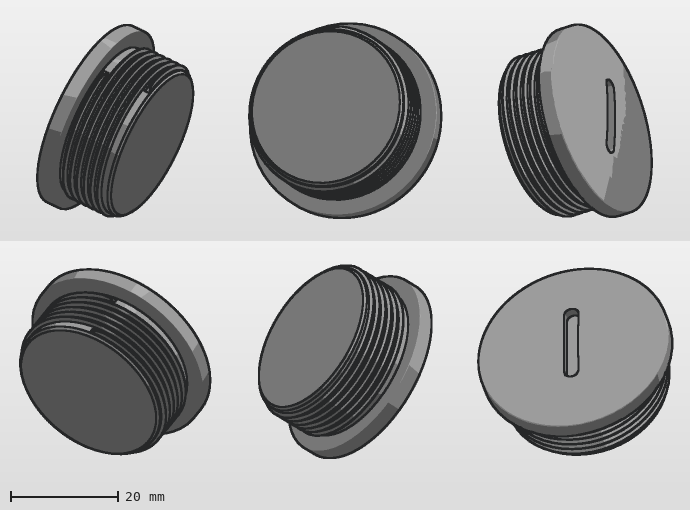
import cadquery as cq
import math

length = 15.95
head_radius = 18.32
dome_height = 1.95
head_rear = 5.0
dome_edge_fillet = 0.4
rear_edge_fillet = 0.1

body_radius = 29.98 / 2
end_chamfer = 0.5
pitch = 1.5
turns = 6
thread_start = 5.75
thread_end = thread_start + turns * pitch
crest_radius = 15.72
thread_base_width = 1.0
crest_width = 0.1
thread_embed = 0.15

ramp_length = 1.1
ramp_height = 0.5
flat_end = 3.65

slot_width = 2.75
slot_length = 15.75
slot_depth = 2.5

margin = 0.35


def make_head():
    """Domed disc with rounded rims."""
    sphere_radius = (head_radius**2 + dome_height**2) / (2 * dome_height)
    mid_radius = head_radius / 2
    mid_x = sphere_radius - math.sqrt(sphere_radius**2 - mid_radius**2)
    head = (
        cq.Workplane("XY")
        .threePointArc((mid_x, mid_radius), (dome_height, head_radius))
        .lineTo(head_rear, head_radius)
        .lineTo(head_rear, 0)
        .close()
        .revolve(360, (0, 0, 0), (1, 0, 0))
    )
    front_rim = cq.selectors.BoxSelector(
        (dome_height - margin, -head_radius - margin, -head_radius - margin),
        (dome_height + margin, head_radius + margin, head_radius + margin),
        boundingbox=True,
    )
    head = head.edges(front_rim).fillet(dome_edge_fillet)
    return head.faces(">X").edges().fillet(rear_edge_fillet)


def make_body():
    """Plain cylinder behind the head, chamfered at its free end."""
    return (
        cq.Workplane("YZ", origin=(head_rear, 0, 0))
        .circle(body_radius)
        .extrude(length - head_rear)
        .faces(">X")
        .chamfer(end_chamfer)
    )


def make_thread():
    """Right-handed ridge that starts and ends at the +Z side."""
    root_radius = body_radius - thread_embed
    slope = (thread_base_width - crest_width) / 2 / (crest_radius - body_radius)
    root_half = thread_base_width / 2 + slope * thread_embed
    crest_half = crest_width / 2
    helix = cq.Wire.makeHelix(pitch, turns * pitch, body_radius)
    ridge = (
        cq.Workplane("XZ")
        .polyline([
            (root_radius, -root_half),
            (crest_radius, -crest_half),
            (crest_radius, crest_half),
            (root_radius, root_half),
        ])
        .close()
        .sweep(cq.Workplane(helix), isFrenet=True)
    )
    frame = cq.Plane(origin=(thread_start, 0, 0), xDir=(0, 0, 1), normal=(1, 0, 0))
    return ridge.val().moved(cq.Location(frame))


def make_ramp_cutter(center_x, side):
    """Space above the ramp and flat at one thread end; side is the Y sign."""
    top = crest_radius + margin
    flat_height = body_radius + ramp_height
    return (
        cq.Workplane("YZ", origin=(center_x, 0, 0))
        .polyline([
            (0, body_radius),
            (side * ramp_length, flat_height),
            (side * flat_end, flat_height),
            (side * flat_end, top),
            (-side * margin, top),
            (-side * margin, body_radius),
        ])
        .close()
        .extrude(pitch / 2, both=True)
    )


def make_slot():
    """Round-ended screwdriver slot along Z, with its depth measured from the apex."""
    return (
        cq.Workplane("YZ")
        .slot2D(slot_length, slot_width, 90)
        .extrude(slot_depth)
    )


thread = (
    cq.Workplane(make_thread())
    .cut(make_ramp_cutter(thread_start, -1))
    .cut(make_ramp_cutter(thread_end, 1))
)
result = make_head().union(make_body()).union(thread).cut(make_slot())